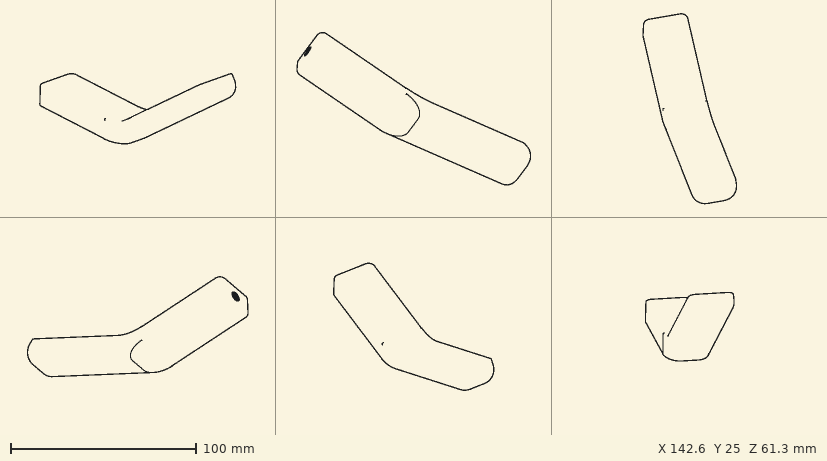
import cadquery as cq
import math

width = 25.0
thickness = 12.0
base_draft_angle = 1.5
arm_draft_angle = 1.0
corner_radius = 4.0
rim_radius = 0.8
foot_radius = 0.4

arm_angle = 35.0
bend_x = 66.35
bend_radius = 30.0
blend_length = 0.8
arm_length = 86.65
belly_radius = 8.0

hole_height = 4.0
hole_steps = [
    (5.8, 0.3),
    (5.0, 0.8),
    (3.2, 1.2),
    (2.3, 3.0),
]

slope = math.radians(arm_angle)
base_draft = math.tan(math.radians(base_draft_angle))
arm_draft = math.tan(math.radians(arm_draft_angle))
belly_half_width = width / 2 + belly_radius * arm_draft
tangent_length = bend_radius * math.tan(slope / 2)
seam_x = bend_x - tangent_length
clearance = 2 * width


def along_arm(distance, depth=0.0):
    """XZ point at a distance along the arm's top and a depth below it."""
    return (
        bend_x + distance * math.cos(slope) + depth * math.sin(slope),
        thickness + distance * math.sin(slope) - depth * math.cos(slope),
    )


def make_base():
    """Drafted block with a rounded end at X = 0, cut square at the seam."""
    plan = cq.Sketch().rect(2 * seam_x, width).vertices().fillet(corner_radius)
    base = (
        cq.Workplane("XY", origin=(seam_x, 0, 0))
        .placeSketch(plan)
        .extrude(thickness, taper=base_draft_angle)
    )
    base = base.intersect(cq.Workplane("XY").box(2 * seam_x, clearance, clearance))
    base = base.faces(">Z").edges("not >X").fillet(rim_radius)
    return base.faces("<Z").edges("not >X").fillet(foot_radius)


def make_bar():
    """Straight arm bar, X along the arm and Z = 0 on its belly, bend point at X = 0."""
    tail = 3 * thickness
    height = 2 * thickness
    top_half_width = belly_half_width - height * arm_draft
    bar = (
        cq.Workplane("YZ", origin=(-tail, 0, 0))
        .polyline([
            (-belly_half_width, 0),
            (belly_half_width, 0),
            (top_half_width, height),
            (-top_half_width, height),
        ])
        .close()
        .extrude(tail + arm_length)
    )
    leaning_end = (
        cq.Workplane("XZ")
        .polyline([
            (arm_length, 0),
            (arm_length - height * arm_draft, height),
            (arm_length, height),
        ])
        .close()
        .extrude(width, both=True)
    )
    bar = bar.cut(leaning_end)
    bar = bar.faces("<Z").edges("|X").fillet(belly_radius)
    return bar.faces(">X").edges("not >Z").fillet(corner_radius)


def make_side_outline(bend_middle):
    """Space above the base plane and below the tops of the bend and the arm."""
    far_point = along_arm(arm_length + thickness)
    return (
        cq.Workplane("XZ")
        .moveTo(seam_x, 0)
        .lineTo(seam_x, thickness)
        .threePointArc(bend_middle, along_arm(tangent_length))
        .lineTo(*far_point)
        .lineTo(far_point[0], 0)
        .close()
        .extrude(width, both=True)
    )


def make_arm():
    """Bend and arm, from the seam to the tip, with the top rim rounded."""
    bend_middle = (
        seam_x + bend_radius * math.sin(slope / 2),
        thickness + bend_radius * (1 - math.cos(slope / 2)),
    )
    belly_x, belly_z = along_arm(0, thickness)
    bar = make_bar().rotate((0, 0, 0), (0, 1, 0), -arm_angle).translate((belly_x, 0, belly_z))
    arm = make_side_outline(bend_middle).intersect(bar)

    rim = []
    for x, z in (bend_middle, along_arm(arm_length / 2)):
        top_face = arm.faces(cq.NearestToPointSelector((x, 0, z)))
        rim += top_face.edges("not |Y").vals()
    rim += top_face.edges(">X").vals()
    return arm.newObject(rim).fillet(rim_radius)


def make_side_blend(side):
    """Space outside the blend strip on one side (+1 or -1 along Y)."""
    blend_end_x = seam_x + blend_length

    def outline(z):
        base_half_width = width / 2 - z * base_draft
        above_belly = (
            thickness + (z - thickness) * math.cos(slope) - (blend_end_x - bend_x) * math.sin(slope)
        )
        arm_half_width = belly_half_width - above_belly * arm_draft
        return [
            (seam_x, side * base_half_width),
            (blend_end_x, side * arm_half_width),
            (blend_end_x, side * width),
            (seam_x, side * width),
        ]

    top = 2 * thickness
    return (
        cq.Workplane("XY")
        .polyline(outline(0))
        .close()
        .workplane(offset=top)
        .polyline(outline(top))
        .close()
        .loft(ruled=True)
    )


def make_screw_hole():
    """Coaxial steps running into the base from its end face."""
    hole = cq.Workplane("YZ", origin=(0, 0, hole_height))
    for diameter, depth in hole_steps:
        hole = hole.circle(diameter / 2).extrude(depth)
    return hole


arm = make_arm()
for side in (1, -1):
    arm = arm.cut(make_side_blend(side))
result = make_base().union(arm).cut(make_screw_hole())